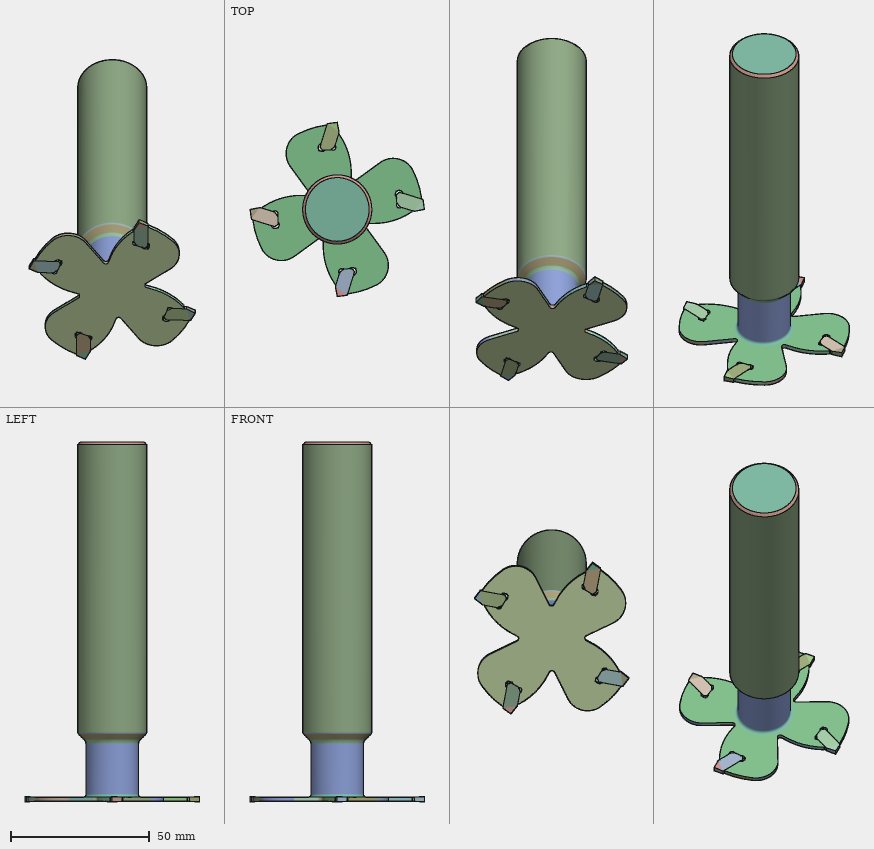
import cadquery as cq
import math


overall_length = 130.0
cutting_diameter = 63.0
blade_count = 4

plate_thickness = 1.6
tip_flare = 0.2
plate_bottom = tip_flare
plate_top = plate_bottom + plate_thickness
plate_middle = plate_bottom + plate_thickness / 2

shank_radius = 24.99 / 2
shank_end_chamfer = 1.0
neck_radius = 19.0 / 2
neck_base_fillet = 1.0
shoulder_bottom = 21.8
shoulder_top = shoulder_bottom + shank_radius - neck_radius
shoulder_bottom_fillet = 2.0
shoulder_top_fillet = 1.0

blade_corner_center = (20.2, 10.5)
blade_corner_radius = 8.0
corner_end_angle = 27.0
trailing_edge_angle = 36.0
trailing_edge_length = 18.0
outer_edge_end = (30.5, 3.9)
leading_edge_root = (5.0, -5.3)
leading_edge_straight_end = (12.5, -5.1)
leading_edge_middle = (20.0, -4.15)
leading_edge_end = (26.9, -0.9)
root_fillet = 1.0

tip_point = (cutting_diameter / 2, 0.0)
outer_heel = (31.0, 3.6)
rear_outer_corner = (21.25, 6.65)
rear_inner_corner = (21.55, 1.25)
face_heel = (27.9, -0.7)
rear_outer_chamfer = 1.3
rear_inner_chamfer = 1.1

match_tolerance = 0.01

outer_relief_center = (22.4, 5.45)
outer_relief_radius = 1.4
inner_relief_center = (22.45, 1.55)
inner_relief_radius = 1.0


def polar_point(center, radius, angle):
    """Point at a distance and an angle in degrees from a center."""
    turn = math.radians(angle)
    return (center[0] + radius * math.cos(turn), center[1] + radius * math.sin(turn))


def blade_copies(shape):
    """One copy of the shape for each blade, turned about Z."""
    step = 360.0 / blade_count
    return [shape.rotate((0, 0, 0), (0, 0, 1), index * step) for index in range(blade_count)]


def ring_edge(body, height, radius):
    """The circular edge about Z with this height and radius."""
    matches = [
        edge for edge in body.edges("%CIRCLE").vals()
        if abs(edge.Center().z - height) < match_tolerance and abs(edge.radius() - radius) < match_tolerance
    ]
    return body.newObject(matches)


def make_shank():
    shank = (
        cq.Workplane("XZ")
        .moveTo(0, plate_bottom)
        .lineTo(neck_radius, plate_bottom)
        .lineTo(neck_radius, shoulder_bottom)
        .lineTo(shank_radius, shoulder_top)
        .lineTo(shank_radius, overall_length)
        .lineTo(0, overall_length)
        .close()
        .revolve(360, (0, 0, 0), (0, 1, 0))
    )
    shank = shank.faces(">Z").chamfer(shank_end_chamfer)
    shank = ring_edge(shank, shoulder_bottom, neck_radius).fillet(shoulder_bottom_fillet)
    return ring_edge(shank, shoulder_top, shank_radius).fillet(shoulder_top_fillet)


def make_blade():
    corner_start = polar_point(blade_corner_center, blade_corner_radius, trailing_edge_angle + 90)
    corner_middle = polar_point(blade_corner_center, blade_corner_radius, 90)
    corner_end = polar_point(blade_corner_center, blade_corner_radius, corner_end_angle)
    trailing_root = polar_point(corner_start, trailing_edge_length, trailing_edge_angle + 180)
    return (
        cq.Workplane("XY", origin=(0, 0, plate_bottom))
        .moveTo(*trailing_root)
        .lineTo(*corner_start)
        .threePointArc(corner_middle, corner_end)
        .tangentArcPoint(outer_edge_end, relative=False)
        .lineTo(*leading_edge_end)
        .threePointArc(leading_edge_middle, leading_edge_straight_end)
        .lineTo(*leading_edge_root)
        .close()
        .extrude(plate_thickness)
    )


def make_plate():
    """Four blades around a hub, with the notches between the blades rounded."""
    plate = cq.Workplane("XY", origin=(0, 0, plate_bottom)).circle(neck_radius).extrude(plate_thickness)
    for blade in blade_copies(make_blade()):
        plate = plate.union(blade)
    notch_edges = [
        edge for edge in plate.edges("|Z").vals()
        if math.hypot(edge.Center().x, edge.Center().y) < shank_radius
    ]
    return plate.newObject(notch_edges).fillet(root_fillet)


def insert_outline(bottom, height):
    """Upright prism with the insert's outline and sharp rear corners."""
    corners = [tip_point, outer_heel, rear_outer_corner, rear_inner_corner, face_heel]
    return cq.Workplane("XY", origin=(0, 0, bottom)).polyline(corners).close().extrude(height)


def vertical_edge(body, point):
    return body.edges(cq.selectors.NearestToPointSelector((*point, plate_middle)))


def make_insert():
    """Plate-thick insert whose cutting tip thickens past the fold line between its two heels."""
    insert = insert_outline(0, plate_thickness + 2 * tip_flare)
    insert = vertical_edge(insert, rear_outer_corner).chamfer(rear_outer_chamfer)
    insert = vertical_edge(insert, rear_inner_corner).chamfer(rear_inner_chamfer)

    heel = cq.Vector(*outer_heel, plate_middle)
    fold_direction = (heel - cq.Vector(*face_heel, plate_middle)).normalized()
    fold_normal = fold_direction.cross(cq.Vector(0, 0, 1))
    tip_reach = (cq.Vector(*tip_point, plate_middle) - heel).dot(fold_normal)
    half_thickness = plate_thickness / 2
    half_tip = half_thickness + tip_flare
    side_profile = [
        (-cutting_diameter, -half_thickness),
        (0, -half_thickness),
        (tip_reach, -half_tip),
        (tip_reach, half_tip),
        (0, half_thickness),
        (-cutting_diameter, half_thickness),
    ]
    thickness_shape = (
        cq.Workplane(cq.Plane(origin=heel, xDir=fold_normal, normal=fold_direction))
        .polyline(side_profile)
        .close()
        .extrude(cutting_diameter, both=True)
    )
    return insert.intersect(thickness_shape)


def make_seat():
    """Through opening for an insert, with round reliefs at its rear corners."""
    seat = insert_outline(plate_bottom, plate_thickness)
    reliefs = [(outer_relief_center, outer_relief_radius), (inner_relief_center, inner_relief_radius)]
    for center, radius in reliefs:
        relief = cq.Workplane("XY", origin=(*center, plate_bottom)).circle(radius).extrude(plate_thickness)
        seat = seat.union(relief)
    return seat


cutter_body = make_plate().union(make_shank())
cutter_body = ring_edge(cutter_body, plate_top, neck_radius).fillet(neck_base_fillet)
for seat in blade_copies(make_seat()):
    cutter_body = cutter_body.cut(seat)

inserts = [insert.val() for insert in blade_copies(make_insert())]

result = cq.Compound.makeCompound([cutter_body.val(), *inserts])